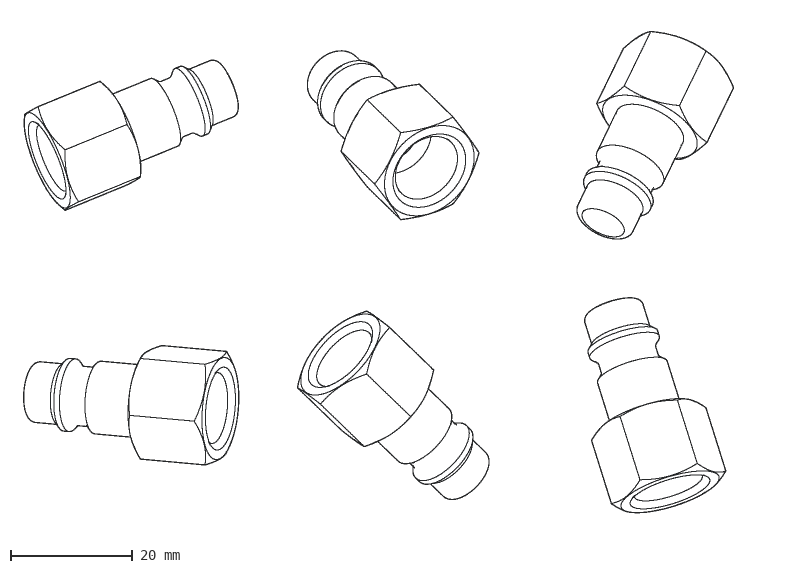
import cadquery as cq
import math

total_length = 33.0

hex_length = 13.0
across_flats = 17.0
across_corners = across_flats / math.cos(math.radians(30))
hex_face_radius = 8.4
hex_chamfer_angle = 30.0

shank_radius = 6.0
tip_radius = 5.0
tip_fillet = 1.0
tip_length = 5.0
ring_width = 1.0
groove_radius = 4.92
groove_fillet = 1.0
groove_wall_angle = 45.0
groove_start = 7.0
groove_end = 11.5

passage_radius = 3.75
socket_radius = 5.85
socket_mouth_radius = 6.83
socket_depth = 9.9
drill_half_angle = 60.0


def make_hex_body():
    """Hexagonal prism with conical chamfers on both ends."""
    prism = (
        cq.Workplane("XZ")
        .polygon(6, across_corners)
        .extrude(-hex_length)
    )
    corner_radius = across_corners / 2
    chamfer_length = (corner_radius - hex_face_radius) * math.tan(math.radians(hex_chamfer_angle))
    envelope = (
        cq.Workplane("XY")
        .moveTo(0, 0)
        .lineTo(hex_face_radius, 0)
        .lineTo(corner_radius, chamfer_length)
        .lineTo(corner_radius, hex_length - chamfer_length)
        .lineTo(hex_face_radius, hex_length)
        .lineTo(0, hex_length)
        .close()
        .revolve(360, (0, 0, 0), (0, 1, 0))
    )
    return prism.intersect(envelope)


def make_nose():
    """Shank, locking groove, ring and rounded tip as one turned profile."""
    shoulder_y = total_length - groove_end
    ring_back_y = total_length - groove_start
    ring_front_y = ring_back_y + ring_width
    tip_base_y = total_length - tip_length

    wall_angle = math.radians(groove_wall_angle)
    half_angle = wall_angle / 2
    fillet_rise = groove_fillet * (1 - math.cos(wall_angle))
    fillet_run = groove_fillet * math.sin(wall_angle)
    wall_end_radius = groove_radius + fillet_rise
    wall_run = (shank_radius - wall_end_radius) / math.tan(wall_angle)
    mid_radius = groove_radius + groove_fillet * (1 - math.cos(half_angle))
    mid_run = fillet_run - groove_fillet * math.sin(half_angle)
    lower_wall_y = shoulder_y + wall_run
    upper_wall_y = ring_back_y - wall_run

    tip_inset = tip_fillet * (1 - math.sqrt(0.5))
    root_y = hex_length / 2
    return (
        cq.Workplane("XY")
        .moveTo(0, root_y)
        .lineTo(shank_radius, root_y)
        .lineTo(shank_radius, shoulder_y)
        .lineTo(wall_end_radius, lower_wall_y)
        .threePointArc((mid_radius, lower_wall_y + mid_run), (groove_radius, lower_wall_y + fillet_run))
        .lineTo(groove_radius, upper_wall_y - fillet_run)
        .threePointArc((mid_radius, upper_wall_y - mid_run), (wall_end_radius, upper_wall_y))
        .lineTo(shank_radius, ring_back_y)
        .lineTo(shank_radius, ring_front_y)
        .lineTo(tip_radius, tip_base_y)
        .lineTo(tip_radius, total_length - tip_fillet)
        .threePointArc(
            (tip_radius - tip_inset, total_length - tip_inset),
            (tip_radius - tip_fillet, total_length),
        )
        .lineTo(0, total_length)
        .close()
        .revolve(360, (0, 0, 0), (0, 1, 0))
    )


def make_bore():
    """Chamfered socket with a conical floor leading to the through passage."""
    mouth_chamfer = socket_mouth_radius - socket_radius
    floor_length = (socket_radius - passage_radius) / math.tan(math.radians(drill_half_angle))
    return (
        cq.Workplane("XY")
        .moveTo(0, 0)
        .lineTo(socket_mouth_radius, 0)
        .lineTo(socket_radius, mouth_chamfer)
        .lineTo(socket_radius, socket_depth)
        .lineTo(passage_radius, socket_depth + floor_length)
        .lineTo(passage_radius, total_length)
        .lineTo(0, total_length)
        .close()
        .revolve(360, (0, 0, 0), (0, 1, 0))
    )


result = make_hex_body().union(make_nose()).cut(make_bore())